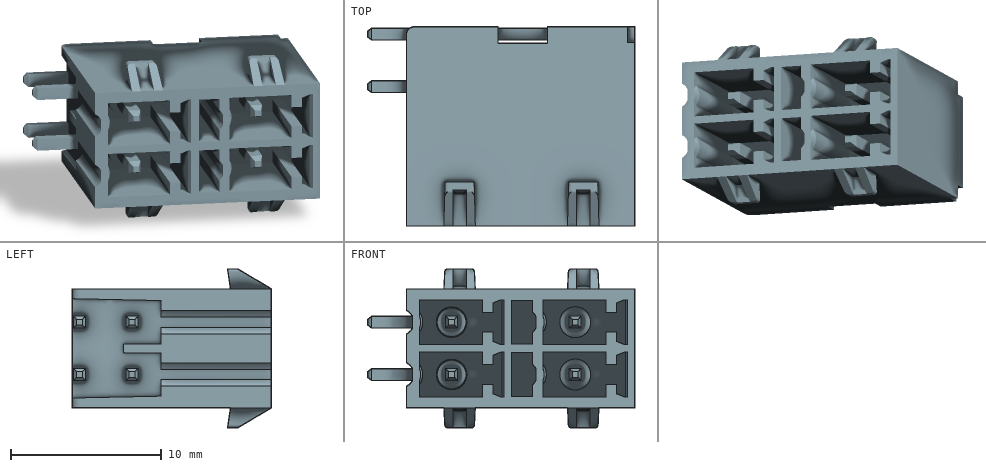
import cadquery as cq
import math


OVERALL_WIDTH = 17.8
WIDTH = 15.22
DEPTH = 13.3
HEIGHT = 7.94
BACK_ROUNDING = 0.53

ROW_PITCH = 3.49
COLUMN_PITCH = 8.25
FIRST_PIN_X = 3.0
ROWS = [-ROW_PITCH / 2, ROW_PITCH / 2]
COLUMNS = [0, COLUMN_PITCH]

CAVITY_LEFT = 0.85
CAVITY_WIDTH = 4.2
CAVITY_HEIGHT = 2.99
CAVITY_DEPTH = 7.35
NECK_END_X = 5.77
NECK_HEIGHT = 1.32
FLARE_START_HEIGHT = 2.56
FLARE_END_X = 6.3
SLOT_END_X = 6.35
LEAD_IN_RUN = 0.15
LEAD_IN_DEPTH = 0.45

SUPPORT_HEIGHT = 1.0
SUPPORT_RADII = [(1.01, 0.96), (1.03, 1.03)]

MIDDLE_SLOT_LEFT = 7.01
MIDDLE_SLOT_RIGHT = 8.4
MIDDLE_SLOT_HEIGHT = 2.92

GROOVE_RADIUS = 0.87
GROOVE_CENTRE_X = -0.4
GROOVE_DEPTH = 0.41
RIB_RADIUS = 1.1
RIB_TIP_X = 1.09
RIB_LEAD_IN_RISE = 0.15
RIB_LEAD_IN_LENGTH = 0.45

RECESS_DEPTH = GROOVE_DEPTH
RECESS_FRONT_Y = CAVITY_DEPTH
RECESS_FRONT_HEIGHT = 6.37
RECESS_BACK_HEIGHT = 6.62
TONGUE_END_Y = 9.86
TONGUE_HEIGHT = 0.6
TONGUE_ROUNDING = 0.07

NOTCH_LEFT = 6.1
NOTCH_WIDTH = 3.3
NOTCH_DEPTH = 1.1
CORNER_CUT_WIDTH = 0.48
CORNER_CUT_DEPTH = 1.05
CORNER_CUT_HEIGHT = 0.89

PIN_SIZE = 0.8
PIN_TIP_SIZE = 0.4
CONTACT_TIP_LENGTH = 0.65
LEG_TIP_LENGTH = 0.27
PIN_FRONT_Y = 1.32
PIN_REACH = OVERALL_WIDTH - WIDTH
PIN_LEG_Y = [9.3, 12.8]

LATCH_CENTRE_X = 3.55
LATCH_HEIGHT = 1.34
LATCH_CREST_Y = 2.26
LATCH_BACK_Y = 2.94
LATCH_BASE_Y = 2.75
LATCH_FRONT_WIDTH = 2.1
LATCH_BACK_WIDTH = 1.94
LATCH_ROUNDING = 0.21
LATCH_SLOT_WIDTH = 0.9
LATCH_RAMP_END_Y = 2.15
LATCH_RAMP_RISE = 0.2
LATCH_SLOT_TOP_Y = 2.42


def box(x, y, z):
    """A box given by its (start, end) along each axis."""
    size = [end - start for start, end in (x, y, z)]
    return cq.Workplane("XY").box(*size, centered=False).translate((x[0], y[0], z[0]))


def front_sketch(y, x=0, z=0):
    """A plane facing the mating side, with its X along X and its Y along Z; it extrudes toward the front."""
    return cq.Workplane(cq.Plane(origin=(x, y, z), xDir=(1, 0, 0), normal=(0, -1, 0)))


def round_groove(x, z, depth):
    """Flat-bottomed round groove along Y whose housing surface lies at the given X."""
    cylinder = front_sketch(depth, x + GROOVE_CENTRE_X, z).circle(GROOVE_RADIUS).extrude(depth)
    limit = box((x - GROOVE_RADIUS, x + GROOVE_DEPTH), (0, depth), (z - GROOVE_RADIUS, z + GROOVE_RADIUS))
    return cylinder.intersect(limit)


def cavity_rib(x, z):
    """Round rib on the left cavity wall, narrower at the mouth."""
    rib = front_sketch(CAVITY_DEPTH, x + RIB_TIP_X - RIB_RADIUS, z).circle(RIB_RADIUS).extrude(CAVITY_DEPTH)
    return rib.faces("<Y").chamfer(RIB_LEAD_IN_LENGTH, RIB_LEAD_IN_RISE)


def cavity(x, z):
    """Contact cavity: a square chamber joined by a neck to a flared slot with a chamfered far wall."""
    half_neck = NECK_HEIGHT / 2
    half_flare = FLARE_START_HEIGHT / 2
    half_height = CAVITY_HEIGHT / 2
    chamber_end = CAVITY_LEFT + CAVITY_WIDTH
    chamber = box(
        (x + CAVITY_LEFT, x + chamber_end), (0, CAVITY_DEPTH), (z - half_height, z + half_height)
    ).cut(cavity_rib(x, z))
    neck = box((x + chamber_end, x + NECK_END_X), (0, CAVITY_DEPTH), (z - half_neck, z + half_neck))
    flare = (
        front_sketch(CAVITY_DEPTH, x, z)
        .polyline([
            (NECK_END_X, -half_flare),
            (FLARE_END_X, -half_height),
            (SLOT_END_X, -half_height),
            (SLOT_END_X, half_height),
            (FLARE_END_X, half_height),
            (NECK_END_X, half_flare),
        ])
        .close()
        .extrude(CAVITY_DEPTH)
    )
    lead_in = (
        cq.Workplane("XY", origin=(x + SLOT_END_X, 0, z - half_height))
        .polyline([(0, 0), (LEAD_IN_RUN, 0), (0, LEAD_IN_DEPTH)])
        .close()
        .extrude(CAVITY_HEIGHT)
    )
    return chamber.union(neck).union(flare).union(lead_in)


def middle_slot(z):
    """Slot between the two columns, with the polarizing groove of the second column in its right wall."""
    half_height = MIDDLE_SLOT_HEIGHT / 2
    slot = box(
        (MIDDLE_SLOT_LEFT, MIDDLE_SLOT_RIGHT), (0, CAVITY_DEPTH), (z - half_height, z + half_height)
    )
    return slot.union(round_groove(COLUMN_PITCH, z, CAVITY_DEPTH))


def pin_support(x, z, base_radius, top_radius):
    """Round, slightly tapered boss on the cavity floor."""
    floor = front_sketch(CAVITY_DEPTH, x + FIRST_PIN_X, z)
    taper = math.degrees(math.atan((base_radius - top_radius) / SUPPORT_HEIGHT))
    return floor.circle(base_radius).extrude(SUPPORT_HEIGHT, taper=taper)


def side_recess():
    """Recess in the left side, open to the back, around a rounded tongue."""
    outline = (
        cq.Workplane("YZ")
        .polyline([
            (RECESS_FRONT_Y, -RECESS_FRONT_HEIGHT / 2),
            (DEPTH, -RECESS_BACK_HEIGHT / 2),
            (DEPTH, RECESS_BACK_HEIGHT / 2),
            (RECESS_FRONT_Y, RECESS_FRONT_HEIGHT / 2),
        ])
        .close()
        .extrude(RECESS_DEPTH)
    )
    half_tongue = TONGUE_HEIGHT / 2
    tongue = box((0, RECESS_DEPTH), (RECESS_FRONT_Y, TONGUE_END_Y), (-half_tongue, half_tongue))
    return outline.cut(tongue.edges("|X and >Y").fillet(TONGUE_ROUNDING))


def housing():
    """Block with its recess, back cuts, grooves, slots and cavities."""
    half_height = HEIGHT / 2
    body = box((0, WIDTH), (0, DEPTH), (-half_height, half_height))
    body = body.edges("|Z and <X and >Y").fillet(BACK_ROUNDING)
    body = body.cut(side_recess())
    body = body.cut(
        box(
            (NOTCH_LEFT, NOTCH_LEFT + NOTCH_WIDTH),
            (DEPTH - NOTCH_DEPTH, DEPTH),
            (-half_height, half_height),
        )
    )
    for start in (-half_height, half_height - CORNER_CUT_HEIGHT):
        body = body.cut(
            box(
                (WIDTH - CORNER_CUT_WIDTH, WIDTH),
                (DEPTH - CORNER_CUT_DEPTH, DEPTH),
                (start, start + CORNER_CUT_HEIGHT),
            )
        )
    for z in ROWS:
        body = body.cut(round_groove(0, z, RECESS_FRONT_Y))
        body = body.cut(middle_slot(z))
        for x, radii in zip(COLUMNS, SUPPORT_RADII):
            body = body.cut(cavity(x, z))
            body = body.union(pin_support(x, z, *radii))
    return body


def square_bar(plane, length, tip_length):
    """Square bar that ends in a blunt pyramid at the far end of its length."""
    shank_length = length - tip_length
    shank = cq.Workplane(plane).rect(PIN_SIZE, PIN_SIZE).extrude(shank_length)
    tip = (
        cq.Workplane(plane)
        .workplane(offset=shank_length)
        .rect(PIN_SIZE, PIN_SIZE)
        .workplane(offset=tip_length)
        .rect(PIN_TIP_SIZE, PIN_TIP_SIZE)
        .loft()
    )
    return shank.union(tip)


def pin(x, z, leg_y):
    """Right-angle pin: contact toward the front, leg out of the left side."""
    corner_x = x + FIRST_PIN_X + PIN_SIZE / 2
    corner_y = leg_y + PIN_SIZE / 2
    contact_plane = cq.Plane(origin=(x + FIRST_PIN_X, corner_y, z), xDir=(1, 0, 0), normal=(0, -1, 0))
    leg_plane = cq.Plane(origin=(corner_x, leg_y, z), xDir=(0, 1, 0), normal=(-1, 0, 0))
    contact = square_bar(contact_plane, corner_y - PIN_FRONT_Y, CONTACT_TIP_LENGTH)
    return contact.union(square_bar(leg_plane, corner_x + PIN_REACH, LEG_TIP_LENGTH))


def latch(x):
    """Hollow wedge-shaped latch on the top face, narrower at its overhanging back."""
    base_z = HEIGHT / 2
    top_z = base_z + LATCH_HEIGHT
    wedge = (
        cq.Workplane("YZ", origin=(x, 0, 0))
        .polyline([
            (0, base_z),
            (LATCH_CREST_Y, top_z),
            (LATCH_BACK_Y, top_z),
            (LATCH_BASE_Y, base_z),
        ])
        .close()
        .extrude(LATCH_FRONT_WIDTH / 2, both=True)
    )
    flanks = (
        cq.Workplane("XY", origin=(x, 0, base_z))
        .polyline([
            (-LATCH_FRONT_WIDTH / 2, 0),
            (LATCH_FRONT_WIDTH / 2, 0),
            (LATCH_BACK_WIDTH / 2, LATCH_BACK_Y),
            (-LATCH_BACK_WIDTH / 2, LATCH_BACK_Y),
        ])
        .close()
        .extrude(LATCH_HEIGHT)
    )
    slot = (
        cq.Workplane("YZ", origin=(x, 0, 0))
        .polyline([
            (0, base_z),
            (LATCH_RAMP_END_Y, base_z + LATCH_RAMP_RISE),
            (LATCH_SLOT_TOP_Y, top_z),
            (0, top_z),
        ])
        .close()
        .extrude(LATCH_SLOT_WIDTH / 2, both=True)
    )
    solid = wedge.intersect(flanks)
    solid = solid.faces(">Z").edges("not >Y").fillet(LATCH_ROUNDING)
    return solid.cut(slot)


result = housing()
for column_x, leg_y in zip(COLUMNS, PIN_LEG_Y):
    for row_z in ROWS:
        result = result.union(pin(column_x, row_z, leg_y))
    top_latch = latch(LATCH_CENTRE_X + column_x)
    result = result.union(top_latch).union(top_latch.mirror("XY"))